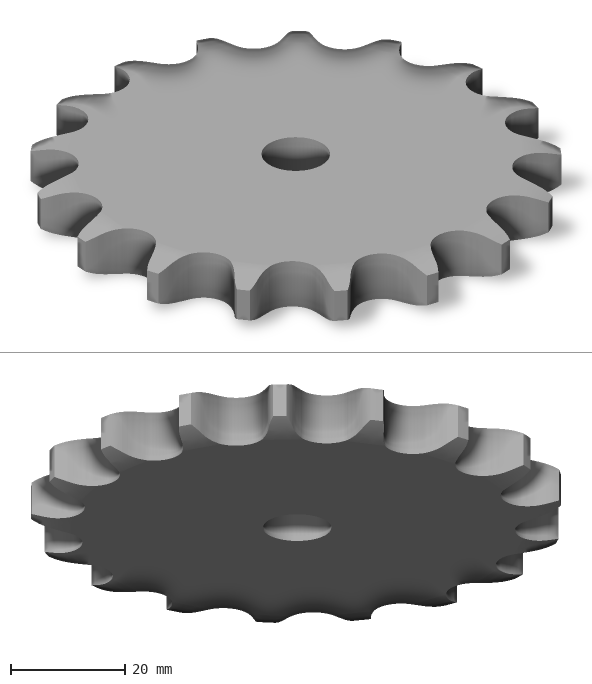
import cadquery as cq
import math

TOOTH_COUNT = 17
CHAIN_PITCH = 15.9
ROLLER_DIAMETER = 10.1
SEAT_RADIUS = 5.1
TIP_DIAMETER = 93.0
THICKNESS = 9.1
BORE_DIAMETER = 12.0
FLAT_FACE_RADIUS = 39.6
CROWN_RADIUS = CHAIN_PITCH

tip_radius = TIP_DIAMETER / 2
half_thickness = THICKNESS / 2
tooth_angle = 360 / TOOTH_COUNT
pitch_radius = CHAIN_PITCH / 2 / math.sin(math.radians(tooth_angle / 2))

WORKING_RADIUS_FACTOR = 1.3025
WORKING_OFFSET_FACTOR = 0.8
TOPPING_OFFSET_FACTOR = 1.4
TOPPING_SWEEP = 25

seat_half_angle = 90 - (35 + 60 / TOOTH_COUNT)
working_angle = 18 - 56 / TOOTH_COUNT
topping_angle = 17 - 64 / TOOTH_COUNT
working_radius = WORKING_RADIUS_FACTOR * ROLLER_DIAMETER
straight_length = ROLLER_DIAMETER * (
    TOPPING_OFFSET_FACTOR * math.sin(math.radians(topping_angle))
    - WORKING_OFFSET_FACTOR * math.sin(math.radians(working_angle))
)
topping_radius = ROLLER_DIAMETER * (
    WORKING_OFFSET_FACTOR * math.cos(math.radians(working_angle))
    + TOPPING_OFFSET_FACTOR * math.cos(math.radians(topping_angle))
    - WORKING_RADIUS_FACTOR
)


def offset(point, distance, angle):
    """Point at a distance from another, with the angle in degrees from +X."""
    radians = math.radians(angle)
    return (point[0] + distance * math.cos(radians), point[1] + distance * math.sin(radians))


def tooth_gap():
    """Cutter for one gap, symmetric about the +X axis and open past the tooth tips."""
    seat_center = (pitch_radius, 0)
    seat_bottom = (pitch_radius - SEAT_RADIUS, 0)

    seat_end_angle = 180 - seat_half_angle
    working_end_angle = seat_end_angle - working_angle
    working_mid_angle = (seat_end_angle + working_end_angle) / 2

    seat_end = offset(seat_center, SEAT_RADIUS, seat_end_angle)
    working_center = offset(seat_end, -working_radius, seat_end_angle)
    working_mid = offset(working_center, working_radius, working_mid_angle)
    working_end = offset(working_center, working_radius, working_end_angle)
    straight_end = offset(working_end, straight_length, working_end_angle - 90)

    topping_center = offset(straight_end, topping_radius, working_end_angle)
    topping_start_angle = working_end_angle + 180
    topping_mid = offset(topping_center, topping_radius, topping_start_angle + TOPPING_SWEEP / 2)
    topping_end = offset(topping_center, topping_radius, topping_start_angle + TOPPING_SWEEP)

    def mirrored(point):
        return (point[0], -point[1])

    return (
        cq.Workplane("XY")
        .workplane(offset=-THICKNESS)
        .moveTo(*topping_end)
        .threePointArc(topping_mid, straight_end)
        .lineTo(*working_end)
        .threePointArc(working_mid, seat_end)
        .threePointArc(seat_bottom, mirrored(seat_end))
        .threePointArc(mirrored(working_mid), mirrored(working_end))
        .lineTo(*mirrored(straight_end))
        .threePointArc(mirrored(topping_mid), mirrored(topping_end))
        .close()
        .extrude(2 * THICKNESS)
    )


def crown_height(radius):
    """Half thickness of the crowned rim at a radius outside the flat face."""
    drop = CROWN_RADIUS - math.sqrt(CROWN_RADIUS**2 - (radius - FLAT_FACE_RADIUS) ** 2)
    return half_thickness - drop


def crowned_blank():
    """Disc about Z with flat faces whose rim curves in tangentially on both sides."""
    mid_radius = (FLAT_FACE_RADIUS + tip_radius) / 2
    return (
        cq.Workplane("XZ")
        .moveTo(0, -half_thickness)
        .lineTo(FLAT_FACE_RADIUS, -half_thickness)
        .threePointArc((mid_radius, -crown_height(mid_radius)), (tip_radius, -crown_height(tip_radius)))
        .lineTo(tip_radius, crown_height(tip_radius))
        .threePointArc((mid_radius, crown_height(mid_radius)), (FLAT_FACE_RADIUS, half_thickness))
        .lineTo(0, half_thickness)
        .close()
        .revolve(360, (0, 0, 0), (0, 1, 0))
    )


result = crowned_blank()
gap = tooth_gap()
for index in range(TOOTH_COUNT):
    result = result.cut(gap.rotate((0, 0, 0), (0, 0, 1), 90 + index * tooth_angle))

result = result.faces(">Z").workplane(origin=(0, 0, half_thickness)).hole(BORE_DIAMETER)